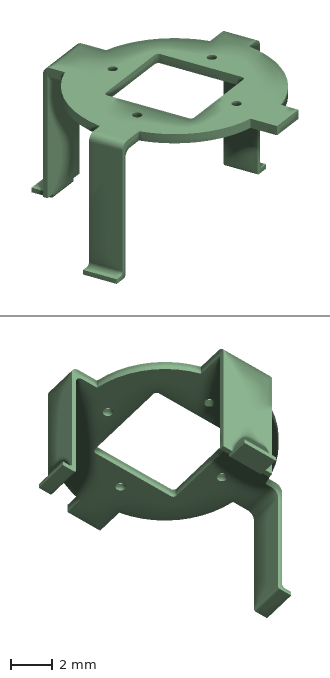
import cadquery as cq

plate_thickness = 0.5
small_radius = 5.0
large_radius = 5.5
window_side = 5.0
window_corner_radius = 0.2
hole_diameter = 0.5
hole_offset = 3.5

height = 7.4
sheet = 0.25
narrow_width = 1.9
wide_width = 3.0
side_leg_reach = 6.52
side_foot_reach = 7.5
end_leg_reach = 6.44
end_foot_reach = 7.0
plain_tab_width = 2.0
plain_tab_reach = 6.4

outer_bend_radius = 0.4
inner_bend_radius = 0.4
foot_inner_radius = 0.2
foot_outer_radius = 0.14

tab_margin = 0.5
tab_root = window_side / 2 + tab_margin
plate_bottom = height - plate_thickness


def sector(radius, start_angle):
    """Quarter disc spanning 90 degrees counterclockwise from start_angle."""
    quarter = (
        cq.Workplane("XY", origin=(0, 0, plate_bottom))
        .lineTo(radius, 0)
        .radiusArc((0, radius), -radius)
        .close()
        .extrude(plate_thickness)
    )
    return quarter.rotate((0, 0, 0), (0, 0, 1), start_angle)


def make_plate():
    """Disc whose quarters alternate between the large and small radius."""
    plate = sector(large_radius, 0)
    for quarter, radius in enumerate((small_radius, large_radius, small_radius), start=1):
        plate = plate.union(sector(radius, 90 * quarter))
    return plate


def extrude_across(profile, width):
    return profile.close().extrude(width / 2, both=True)


def make_arm(leg_reach, width, inner_radius):
    """Tab along +X, bent down into a leg that stops on top of the foot."""
    leg_inside = leg_reach - sheet
    profile = (
        cq.Workplane("XZ")
        .moveTo(tab_root, height)
        .lineTo(leg_reach - outer_bend_radius, height)
        .radiusArc((leg_reach, height - outer_bend_radius), outer_bend_radius)
        .lineTo(leg_reach, sheet)
        .lineTo(leg_inside, sheet)
        .lineTo(leg_inside, plate_bottom - inner_radius)
    )
    if inner_radius > 0:
        profile = profile.radiusArc((leg_inside - inner_radius, plate_bottom), -inner_radius)
    return extrude_across(profile.lineTo(tab_root, plate_bottom), width)


def make_foot(leg_reach, foot_reach):
    """Foot turned outward along +X, rounded on both sides of its bend."""
    leg_inside = leg_reach - sheet
    profile = (
        cq.Workplane("XZ")
        .moveTo(leg_inside + foot_outer_radius, 0)
        .lineTo(foot_reach, 0)
        .lineTo(foot_reach, sheet)
        .lineTo(leg_reach + foot_inner_radius, sheet)
        .radiusArc((leg_reach, sheet + foot_inner_radius), foot_inner_radius)
        .lineTo(leg_inside, sheet + foot_inner_radius)
        .lineTo(leg_inside, foot_outer_radius)
        .radiusArc((leg_inside + foot_outer_radius, 0), -foot_outer_radius)
    )
    return extrude_across(profile, narrow_width)


def turn(body, angle):
    return body.rotate((0, 0, 0), (0, 0, 1), angle)


result = make_plate()

side_leg = make_arm(side_leg_reach, wide_width, 0).union(make_foot(side_leg_reach, side_foot_reach))
result = result.union(turn(side_leg, 180))

end_leg = make_arm(end_leg_reach, narrow_width, inner_bend_radius).union(
    make_foot(end_leg_reach, end_foot_reach)
)
for angle in (90, -90):
    result = result.union(turn(end_leg, angle))

plain_tab = cq.Workplane("XY").box(
    plain_tab_reach - tab_root, plain_tab_width, plate_thickness, centered=(False, True, False)
)
result = result.union(plain_tab.translate((tab_root, 0, plate_bottom)))

window = (
    cq.Workplane("XY")
    .rect(window_side, window_side)
    .extrude(height)
    .edges("|Z")
    .fillet(window_corner_radius)
)
result = result.cut(window)

holes = (
    cq.Workplane("XY")
    .polarArray(hole_offset, 0, 360, 4)
    .circle(hole_diameter / 2)
    .extrude(height)
)
result = result.cut(holes)